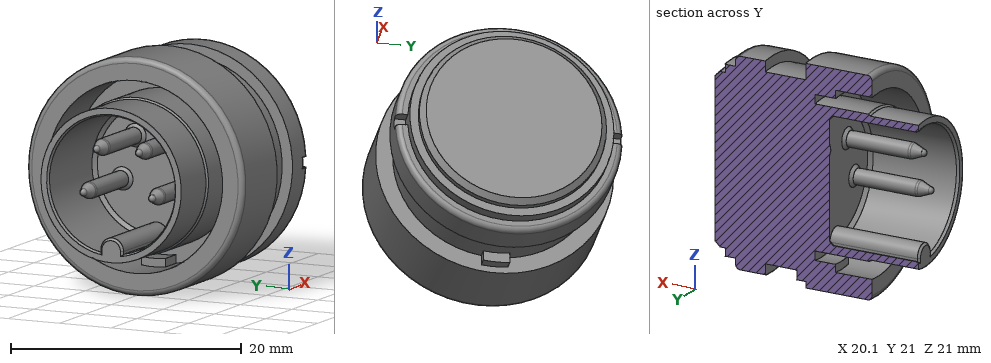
import cadquery as cq
import math

overall_length = 20.1

plug_diameter = 13.6
plug_base_diameter = 13.9
plug_step_x = 4.75
plug_step_length = 0.2
bore_mouth_diameter = 12.5
bore_diameter = 12.2
bore_floor_diameter = 11.5
bore_mouth_length = 0.25
bore_depth = 8.8
bore_floor_chamfer = (bore_diameter - bore_floor_diameter) / 2

collar_front_x = 4.6
collar_rear_x = 11.15
collar_diameter = 21.0
collar_fillet = 0.5
recess_diameter = 17.0
recess_floor_x = 10.2

lug_width = 2.34
lug_inner_diameter = 15.5
lug_length = 2.0
key_length = 0.9
key_outer_diameter = 19.8

body_diameter = 18.0
body_rear_x = 19.1
ring_front_x = 15.1
ring_rear_x = 18.1
ring_diameter = 20.0
ring_fillet = 0.5
ring_slot_width = 1.0
ring_slot_length = 1.0
end_diameter = 16.5
end_chamfer = 0.5

rib_radius = 1.1
rib_center_z = -5.75
rib_chamfer = 0.2

pin_circle_radius = 3.5
pin_pitch_angle = 72.0
pin_count = 4
pin_angles_from_top = [(i - (pin_count - 1) / 2) * pin_pitch_angle for i in range(pin_count)]
pin_base_diameter = 2.06
pin_diameter = 1.49
pin_base_chamfer = (pin_base_diameter - pin_diameter) / 2
pin_shoulder_diameter = 1.4
pin_tip_diameter = 0.66
pin_tip_x = 1.0
pin_cone_length = 0.9
pin_shoulder_length = 0.2


def cylinder(diameter, start_x, end_x):
    """Solid cylinder on the X axis."""
    return cq.Workplane("YZ", origin=(start_x, 0, 0)).circle(diameter / 2).extrude(end_x - start_x)


def revolve_about_x(outline):
    """Turn a closed (x, radius) outline about the X axis."""
    return outline.close().revolve(360, (0, 0, 0), (1, 0, 0))


def make_collar():
    collar = cylinder(collar_diameter, collar_front_x, collar_rear_x).faces("<X").edges().fillet(collar_fillet)
    return collar.cut(cylinder(recess_diameter, collar_front_x, recess_floor_x))


def make_rear_body():
    body = cylinder(body_diameter, recess_floor_x, body_rear_x)
    ring = cylinder(ring_diameter, ring_front_x, ring_rear_x).faces(">X").edges().fillet(ring_fillet)
    slot = cq.Workplane("XY").box(ring_slot_length, ring_diameter, ring_slot_width)
    ring = ring.cut(slot.translate((ring_rear_x - ring_slot_length / 2, 0, 0)))
    end = cylinder(end_diameter, body_rear_x, overall_length).faces(">X").edges().chamfer(end_chamfer)
    return body.union(ring).union(end)


def make_plug_shell():
    shell = revolve_about_x(
        cq.Workplane("XY")
        .moveTo(0, 0)
        .lineTo(0, plug_diameter / 2)
        .lineTo(plug_step_x, plug_diameter / 2)
        .lineTo(plug_step_x + plug_step_length, plug_base_diameter / 2)
        .lineTo(recess_floor_x, plug_base_diameter / 2)
        .lineTo(recess_floor_x, 0)
    )
    bore = revolve_about_x(
        cq.Workplane("XY")
        .moveTo(0, 0)
        .lineTo(0, bore_mouth_diameter / 2)
        .lineTo(bore_mouth_length, bore_diameter / 2)
        .lineTo(bore_depth - bore_floor_chamfer, bore_diameter / 2)
        .lineTo(bore_depth, bore_floor_diameter / 2)
        .lineTo(bore_depth, 0)
    )
    return shell.cut(bore)


def make_rib():
    """Round-topped rib along the bottom of the bore, merging into the shell wall."""
    wall_middle_z = -(plug_diameter + bore_mouth_diameter) / 4
    rib = (
        cq.Workplane("YZ")
        .moveTo(-rib_radius, wall_middle_z)
        .lineTo(-rib_radius, rib_center_z)
        .threePointArc((0, rib_center_z + rib_radius), (rib_radius, rib_center_z))
        .lineTo(rib_radius, wall_middle_z)
        .close()
        .extrude(bore_depth)
    )
    return rib.faces("<X").edges("not <Z").chamfer(rib_chamfer)


def make_pin(angle_from_top):
    tip_radius = pin_tip_diameter / 2
    tip_arc_middle = tip_radius * math.sqrt(0.5)
    cone_start_x = pin_tip_x + tip_radius
    cone_end_x = cone_start_x + pin_cone_length
    pin = revolve_about_x(
        cq.Workplane("XY")
        .moveTo(pin_tip_x, 0)
        .threePointArc((cone_start_x - tip_arc_middle, tip_arc_middle), (cone_start_x, tip_radius))
        .lineTo(cone_end_x, pin_shoulder_diameter / 2)
        .lineTo(cone_end_x + pin_shoulder_length, pin_diameter / 2)
        .lineTo(bore_depth - pin_base_chamfer, pin_diameter / 2)
        .lineTo(bore_depth, pin_base_diameter / 2)
        .lineTo(bore_depth, 0)
    )
    return pin.translate((0, 0, pin_circle_radius)).rotate((0, 0, 0), (1, 0, 0), angle_from_top)


def ring_segment(inner_diameter, outer_diameter, start_x, end_x, side):
    """Piece of a ring, one lug wide, at the top (side = 1) or the bottom (side = -1)."""
    ring = cylinder(outer_diameter, start_x, end_x).cut(cylinder(inner_diameter, start_x, end_x))
    height = outer_diameter / 2
    block = cq.Workplane("XY").box(end_x - start_x, lug_width, height, centered=(False, True, True))
    return ring.intersect(block.translate((start_x, 0, side * height / 2)))


def make_lugs():
    lug_front_x = recess_floor_x - lug_length
    top = ring_segment(lug_inner_diameter, recess_diameter, lug_front_x, recess_floor_x, 1)
    return top.union(ring_segment(lug_inner_diameter, recess_diameter, lug_front_x, recess_floor_x, -1))


def make_key():
    return ring_segment(body_diameter, key_outer_diameter, collar_rear_x, collar_rear_x + key_length, -1)


result = make_rear_body().union(make_collar()).union(make_plug_shell()).union(make_rib())
for pin_angle in pin_angles_from_top:
    result = result.union(make_pin(pin_angle))
result = result.union(make_lugs()).union(make_key())